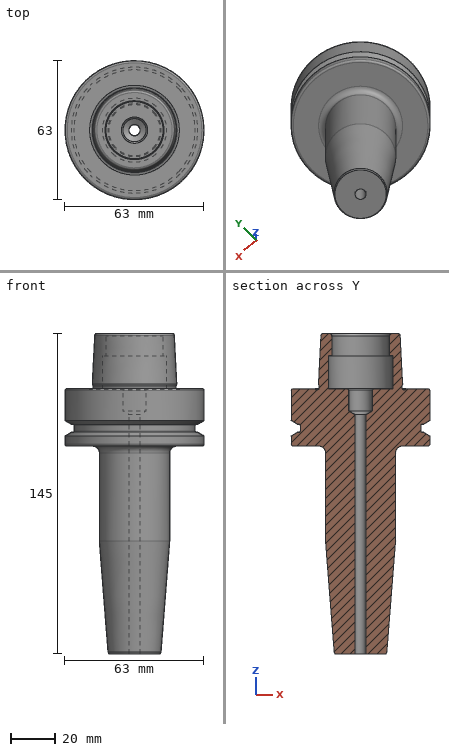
import cadquery as cq
import math

total_height = 145.0
nose_height = 51.0
flange_thickness = 26.1
shank_length = 25.0
flange_top = total_height - shank_length
flange_bottom = flange_top - flange_thickness

body_radius = 16.0
tip_radius = 12.0
tip_chamfer_width = 0.5
tip_chamfer_height = 1.0
body_fillet = 3.0

flange_radius = 31.5
flange_round = 1.0
groove_width = 7.0
groove_depth = 4.0
groove_flank_depth = 2.9
groove_floor_width = 3.5
groove_corner_fillet = 0.5
groove_middle_depth = 18.0
groove_middle = flange_top - groove_middle_depth

shank_top_radius = 18.0
shank_base_radius = 19.1
shank_rim_round = 1.0
shank_base_height = 2.0
neck_radius = 18.8
neck_height = 1.2

relief_radius = 20.3
relief_depth = 0.51
relief_floor = flange_top - relief_depth
relief_fillet = 0.7

bore_radius = 12.9
bore_mouth_radius = 13.3
bore_mouth_depth = 1.3
lip_depth = 10.2
chamber_radius = 14.5
chamber_depth = shank_length

socket_radius = 5.2
socket_chamfer = 0.7
socket_depth = 10.2
drill_point_angle = 118.0
coolant_radius = 2.5


def revolve_profile(profile):
    """Turn a closed (radius, height) outline into a solid about the Z axis."""
    return profile.close().revolve(360, (0, 0, 0), (0, 1, 0))


def make_nose_and_flange():
    return revolve_profile(
        cq.Workplane("XZ")
        .moveTo(0, 0)
        .lineTo(tip_radius - tip_chamfer_width, 0)
        .lineTo(tip_radius, tip_chamfer_height)
        .lineTo(body_radius, nose_height)
        .lineTo(body_radius, flange_bottom - body_fillet)
        .radiusArc((body_radius + body_fillet, flange_bottom), body_fillet)
        .lineTo(flange_radius - flange_round, flange_bottom)
        .radiusArc((flange_radius, flange_bottom + flange_round), -flange_round)
        .lineTo(flange_radius, flange_top - flange_round)
        .radiusArc((flange_radius - flange_round, flange_top), -flange_round)
        .lineTo(0, flange_top)
    )


def make_gripper_groove():
    floor_radius = flange_radius - groove_depth
    flank_radius = flange_radius - groove_flank_depth
    half_mouth = groove_width / 2
    half_floor = groove_floor_width / 2
    ring = revolve_profile(
        cq.Workplane("XZ")
        .moveTo(flange_radius, groove_middle - half_mouth)
        .lineTo(flank_radius, groove_middle - half_floor)
        .lineTo(floor_radius, groove_middle - half_floor)
        .lineTo(floor_radius, groove_middle + half_floor)
        .lineTo(flank_radius, groove_middle + half_floor)
        .lineTo(flange_radius, groove_middle + half_mouth)
    )
    return ring.edges(cq.selectors.RadiusNthSelector(0)).fillet(groove_corner_fillet)


def make_shank():
    base = flange_top + shank_base_height
    neck = flange_top + neck_height
    shank = revolve_profile(
        cq.Workplane("XZ")
        .moveTo(0, flange_top)
        .lineTo(neck_radius, flange_top)
        .lineTo(neck_radius, neck)
        .lineTo(shank_base_radius, base)
        .lineTo(shank_top_radius, total_height)
        .lineTo(0, total_height)
    )
    return shank.faces(">Z").edges().fillet(shank_rim_round)


def make_face_relief():
    return revolve_profile(
        cq.Workplane("XZ")
        .moveTo(neck_radius, flange_top)
        .lineTo(neck_radius, relief_floor)
        .lineTo(relief_radius, relief_floor)
        .lineTo(relief_radius, flange_top)
    )


def make_neck_fillet():
    return revolve_profile(
        cq.Workplane("XZ")
        .moveTo(neck_radius, relief_floor)
        .lineTo(neck_radius + relief_fillet, relief_floor)
        .radiusArc((neck_radius, relief_floor + relief_fillet), relief_fillet)
    )


def make_clamping_bore():
    lip = total_height - lip_depth
    floor = total_height - chamber_depth
    return revolve_profile(
        cq.Workplane("XZ")
        .moveTo(0, total_height)
        .lineTo(bore_mouth_radius, total_height)
        .lineTo(bore_radius, total_height - bore_mouth_depth)
        .lineTo(bore_radius, lip)
        .lineTo(chamber_radius, lip)
        .lineTo(chamber_radius, floor)
        .lineTo(0, floor)
    )


def make_coolant_bore():
    socket_top = total_height - chamber_depth
    mouth_radius = socket_radius + socket_chamfer
    socket_bottom = socket_top - socket_depth
    half_point = math.radians(drill_point_angle / 2)
    point_depth = (socket_radius - coolant_radius) / math.tan(half_point)
    return revolve_profile(
        cq.Workplane("XZ")
        .moveTo(0, socket_top)
        .lineTo(mouth_radius, socket_top)
        .lineTo(socket_radius, socket_top - socket_chamfer)
        .lineTo(socket_radius, socket_bottom)
        .lineTo(coolant_radius, socket_bottom - point_depth)
        .lineTo(coolant_radius, 0)
        .lineTo(0, 0)
    )


flanged_nose = make_nose_and_flange().cut(make_gripper_groove()).cut(make_face_relief())
holder = flanged_nose.union(make_shank()).union(make_neck_fillet())
result = holder.cut(make_clamping_bore()).cut(make_coolant_bore())